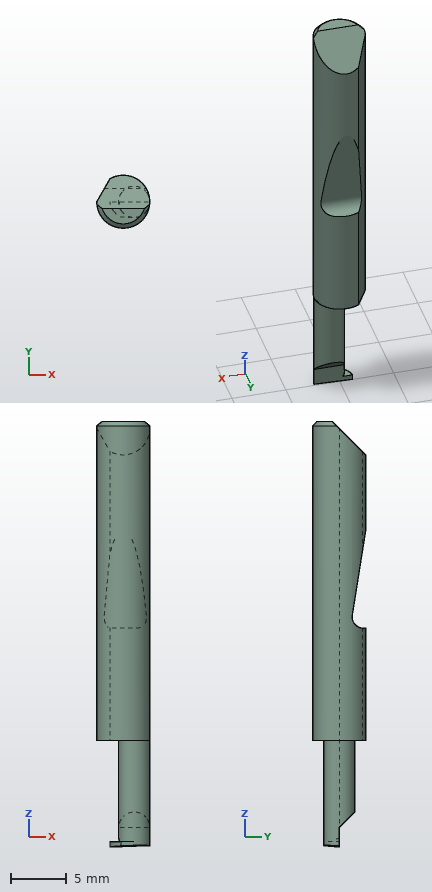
import cadquery as cq
import math

shank_diameter = 4.76
shank_radius = shank_diameter / 2
overall_length = 38.1
neck_length = overall_length / 4

end_chamfer = 0.4
bevel_start_y = -0.62
flat_angle = 60.0

notch_top_z = 28.35
notch_bottom_z = 19.6
notch_corner_radius = 1.0
notch_slope = 9.0

neck_radius = 1.405
neck_back_radius = 1.395
neck_x = shank_radius - neck_radius
neck_cut_z = 1.75

undercut_height = 0.3
undercut_depth = 0.1

head_thickness = 0.5
tip_x = -1.2
head_arc_middle = (-0.89, -0.80)
head_arc_end = (-0.22, -1.375)
relief_angle = 4.0
front_clearance_angle = 2.0

clearance = 2 * shank_diameter


def prism_along_x(points):
    """Solid with the given (y, z) outline, wider in X than the part."""
    return cq.Workplane("YZ").polyline(points).close().extrude(clearance, both=True)


def make_shank():
    shank = (
        cq.Workplane("XY")
        .workplane(offset=neck_length)
        .circle(shank_radius)
        .extrude(overall_length - neck_length)
        .faces(">Z")
        .chamfer(end_chamfer)
    )
    return shank.cut(end_bevel()).cut(clamping_flat()).cut(clamping_notch())


def end_bevel():
    return prism_along_x([
        (bevel_start_y, overall_length),
        (bevel_start_y + clearance, overall_length),
        (bevel_start_y + clearance, overall_length - clearance),
    ])


def clamping_flat():
    """Region outside the chord that starts at the -X point of the shank."""
    angle = math.radians(flat_angle)
    along = (math.cos(angle), math.sin(angle))
    start = (-shank_radius, 0)
    end = (start[0] + shank_diameter * along[0], start[1] + shank_diameter * along[1])
    return (
        cq.Workplane("XY")
        .polyline([start, end, (start[0], end[1])])
        .close()
        .extrude(overall_length)
    )


def clamping_notch():
    slope = math.tan(math.radians(notch_slope))
    floor_y = shank_radius - slope * (notch_top_z - notch_bottom_z)
    notch = prism_along_x([
        (shank_radius, notch_top_z),
        (floor_y, notch_bottom_z),
        (shank_radius + clearance, notch_bottom_z),
        (shank_radius + clearance, notch_top_z),
    ])
    corner = cq.selectors.NearestToPointSelector((0, floor_y, notch_bottom_z))
    return notch.edges(corner).fillet(notch_corner_radius)


def half_neck(radius, side):
    """Half cylinder flush with the shank, on the +Y (side = 1) or -Y (side = -1) side."""
    center_x = shank_radius - radius
    return (
        cq.Workplane("XY")
        .moveTo(center_x - radius, 0)
        .threePointArc((center_x, side * radius), (shank_radius, 0))
        .close()
        .extrude(neck_length)
    )


def make_neck():
    run_out = prism_along_x([
        (0, -clearance),
        (0, neck_cut_z),
        (clearance, neck_cut_z + clearance),
        (clearance, -clearance),
    ])
    back_half = half_neck(neck_back_radius, 1).cut(run_out)
    front_half = half_neck(neck_radius, -1).cut(neck_undercut())
    return front_half.union(back_half)


def neck_undercut():
    """Wedge that deepens from the neck surface down to the top of the head."""
    neck_left_x = neck_x - neck_radius
    return (
        cq.Workplane("XZ")
        .moveTo(neck_left_x, head_thickness + undercut_height)
        .lineTo(neck_left_x + undercut_depth, head_thickness)
        .lineTo(neck_left_x, head_thickness)
        .close()
        .extrude(clearance, both=True)
    )


def make_head():
    return (
        cq.Workplane("XY")
        .moveTo(tip_x, 0)
        .threePointArc(head_arc_middle, head_arc_end)
        .lineTo(neck_x, -neck_radius)
        .lineTo(neck_x, 0)
        .close()
        .extrude(head_thickness)
    )


def end_relief():
    """Body below the end face, which rises from the tip towards -Y and +X."""
    return (
        cq.Workplane("XY")
        .box(clearance, clearance, clearance, centered=(True, True, False))
        .translate((0, 0, -clearance))
        .rotate((0, 0, 0), (1, 0, 0), -relief_angle)
        .rotate((0, 0, 0), (0, 1, 0), -front_clearance_angle)
        .translate((tip_x, 0, 0))
    )


result = make_shank().union(make_neck()).union(make_head()).cut(end_relief())